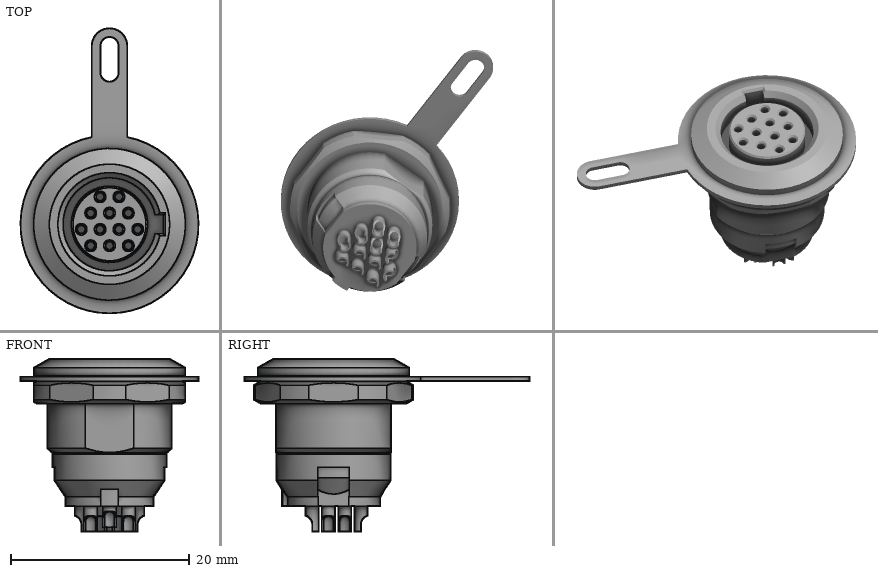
import cadquery as cq
import math


overall_length = 32

flange_radius = 8.5
flange_face_radius = 6.75
flange_bevel_z = -1.0
flange_back_z = -1.9
neck_radius = 8.4

washer_front_z = -2.0
washer_thickness = 0.5
washer_back_z = washer_front_z - washer_thickness
washer_radius = 20.0 / 2
tongue_width = 4.0
tongue_tip_y = overall_length - washer_radius
slot_width = tongue_width / 2
slot_length = 5.0
slot_margin = (tongue_width - slot_width) / 2

nut_thickness = 2.53
nut_back_z = washer_back_z - nut_thickness
nut_across_flats = 17.02
nut_corner_radius = 8.95
nut_bevel_width = 0.8
nut_bevel_angle = 30
nut_sides = 6
nut_bevel_height = nut_bevel_width * math.tan(math.radians(nut_bevel_angle))

body_radius = 7.0
body_across_flats = 12.93
body_bevel_z = -10.0
body_back_z = -10.53
body_back_radius = 6.43
undercut_radius = 6.0

sleeve_front_z = -10.7
sleeve_radius = 6.43
sleeve_cone_z = -13.63
sleeve_end_z = -15.5
sleeve_end_radius = 5.25
back_z = -16.5

notch_width = 3.6
notch_front_z = -12.15
core_radius = 6.08
core_cone_z = -13.3
core_flat_x = 4.95
core_flat_z = -15.17

key_width = 2.0
key_radius = 5.8
key_front_z = -14.08

socket_radius = 5.2
socket_bevel = 0.58
socket_depth = 2.55
insert_radius = 4.3
insert_front_z = -0.25
insert_bevel = 0.2
keyway_width = 2.1
keyway_reach = 6.0
keyway_bevel = 0.25

contact_pitch = 2.1
row_pitch_angle = math.radians(60)
row_pitch = contact_pitch * math.sin(row_pitch_angle)
first_row_y = -2.4
row_counts = [3, 4, 3, 2]
contact_bore_radius = 0.45
contact_bore_bevel = 0.2
contact_bore_depth = 3.0

cup_radius = 1.5 / 2
cup_bore_radius = 0.55
cup_end_z = -19.4
cup_cut_length = 1.8
scoop_radius = 1.0
short_cup_step = 0.5
root_overlap = 0.32


def revolve(points):
    """Turn a closed (radius, z) outline about the Z axis."""
    return cq.Workplane("XZ").polyline(points).close().revolve(360, (0, 0), (0, 1))


def cylinder(radius, bottom, top):
    return cq.Workplane("XY").workplane(offset=bottom).circle(radius).extrude(top - bottom)


def block(x_range, y_range, z_range):
    sizes = [high - low for low, high in (x_range, y_range, z_range)]
    return cq.Workplane("XY").box(*sizes, centered=False).translate(
        (x_range[0], y_range[0], z_range[0])
    )


def make_flange():
    return revolve([
        (0, 0),
        (flange_face_radius, 0),
        (flange_radius, flange_bevel_z),
        (flange_radius, flange_back_z),
        (neck_radius, flange_back_z),
        (neck_radius, washer_front_z),
        (0, washer_front_z),
    ])


def make_washer():
    tongue_straight = tongue_tip_y - tongue_width / 2
    slot_centre_y = tongue_tip_y - slot_margin - slot_length / 2
    plane = cq.Workplane("XY").workplane(offset=washer_back_z)
    disc = plane.circle(washer_radius).extrude(washer_thickness)
    tongue = (
        plane.moveTo(-tongue_width / 2, 0)
        .lineTo(-tongue_width / 2, tongue_straight)
        .threePointArc((0, tongue_tip_y), (tongue_width / 2, tongue_straight))
        .lineTo(tongue_width / 2, 0)
        .close()
        .extrude(washer_thickness)
    )
    slot = plane.center(0, slot_centre_y).slot2D(slot_length, slot_width, 90).extrude(washer_thickness)
    return disc.union(tongue).cut(slot)


def make_nut():
    half_side_angle = 180 / nut_sides
    across_corners = nut_across_flats / math.cos(math.radians(half_side_angle))
    hexagon = (
        cq.Workplane("XY")
        .workplane(offset=nut_back_z)
        .polygon(nut_sides, across_corners)
        .extrude(nut_thickness)
        .rotate((0, 0, 0), (0, 0, 1), half_side_angle)
    )
    face_radius = nut_corner_radius - nut_bevel_width
    rounding = revolve([
        (0, washer_back_z),
        (face_radius, washer_back_z),
        (nut_corner_radius, washer_back_z - nut_bevel_height),
        (nut_corner_radius, nut_back_z + nut_bevel_height),
        (face_radius, nut_back_z),
        (0, nut_back_z),
    ])
    return hexagon.intersect(rounding)


def make_body():
    turned = revolve([
        (0, washer_back_z),
        (body_radius, washer_back_z),
        (body_radius, body_bevel_z),
        (body_back_radius, body_back_z),
        (undercut_radius, body_back_z),
        (undercut_radius, sleeve_front_z),
        (0, sleeve_front_z),
    ])
    half_flats = body_across_flats / 2
    flats = block(
        (-body_radius, body_radius), (-half_flats, half_flats), (sleeve_front_z, washer_back_z)
    )
    return turned.intersect(flats)


def make_sleeve():
    sleeve = revolve([
        (0, sleeve_front_z),
        (sleeve_radius, sleeve_front_z),
        (sleeve_radius, sleeve_cone_z),
        (sleeve_end_radius, sleeve_end_z),
        (sleeve_end_radius, back_z),
        (0, back_z),
    ])
    core = revolve([
        (0, sleeve_front_z),
        (core_radius, sleeve_front_z),
        (core_radius, core_cone_z),
        (core_flat_x, core_flat_z),
        (core_flat_x, back_z),
        (0, back_z),
    ])
    notches = block(
        (-sleeve_radius, sleeve_radius),
        (-notch_width / 2, notch_width / 2),
        (back_z, notch_front_z),
    )
    flat_core = block(
        (-core_flat_x, core_flat_x),
        (-notch_width / 2, notch_width / 2),
        (back_z, core_cone_z),
    )
    key_slab = block((-key_width / 2, key_width / 2), (-sleeve_radius, 0), (back_z, key_front_z))
    key = cylinder(key_radius, back_z, key_front_z).intersect(key_slab)
    return sleeve.cut(notches).union(core).union(flat_core.intersect(sleeve)).union(key)


def make_socket():
    """Ring-shaped recess around the insert, opened by the keyway on the +X side."""
    opening = revolve([
        (0, 0),
        (socket_radius + socket_bevel, 0),
        (socket_radius, -socket_bevel),
        (socket_radius, -socket_depth),
        (0, -socket_depth),
    ])
    half_width = keyway_width / 2
    keyway = block((0, keyway_reach), (-half_width, half_width), (-socket_depth, 0))
    keyway_mouth = (
        cq.Workplane("XY")
        .rect(2 * (keyway_reach + keyway_bevel), keyway_width + 2 * keyway_bevel)
        .extrude(-keyway_bevel, taper=45)
        .intersect(block((0, flange_radius), (-flange_radius, flange_radius), (-socket_depth, 0)))
    )
    insert = cylinder(insert_radius, -socket_depth, insert_front_z).faces(">Z").chamfer(insert_bevel)
    return opening.union(keyway).union(keyway_mouth).cut(insert)


def contact_bore(x, y):
    bore = revolve([
        (0, insert_front_z),
        (contact_bore_radius + contact_bore_bevel, insert_front_z),
        (contact_bore_radius, insert_front_z - contact_bore_bevel),
        (contact_bore_radius, insert_front_z - contact_bore_depth),
        (0, insert_front_z - contact_bore_depth),
    ])
    return bore.translate((x, y, 0))


def solder_cup(x, y, facing, end_z):
    """Hollow pin whose half on the `facing` side (degrees from +X) is cut away near the end."""
    cut_z = end_z + cup_cut_length
    pin = cylinder(cup_radius, end_z, back_z + root_overlap)
    bore = cylinder(cup_bore_radius, end_z, cut_z)
    arc_height = math.sqrt(scoop_radius**2 - (scoop_radius - cup_radius) ** 2)
    scoop = (
        cq.Workplane("XZ")
        .moveTo(0, end_z)
        .lineTo(0, cut_z - arc_height)
        .radiusArc((cup_radius, cut_z), scoop_radius)
        .lineTo(cup_radius, end_z)
        .close()
        .extrude(cup_radius, both=True)
    )
    cup = pin.cut(bore).cut(scoop)
    return cup.rotate((0, 0, 0), (0, 0, 1), facing).translate((x, y, 0))


def cup_facing(row, column):
    """Cups open towards the nearest side of the contact pattern."""
    if row == 0:
        return -90
    if row == len(row_counts) - 1:
        return 90
    if column == 0:
        return 180
    if column == row_counts[row] - 1:
        return 0
    return -90 if row == 1 else 90


result = make_flange().union(make_washer()).union(make_nut()).union(make_body()).union(make_sleeve())
result = result.cut(make_socket())

for row, count in enumerate(row_counts):
    y = first_row_y + row * row_pitch
    for column in range(count):
        x = (column - (count - 1) / 2) * contact_pitch
        is_short = row == 0 and x == 0
        end_z = cup_end_z + short_cup_step if is_short else cup_end_z
        result = result.cut(contact_bore(x, y))
        result = result.union(solder_cup(x, y, cup_facing(row, column), end_z))